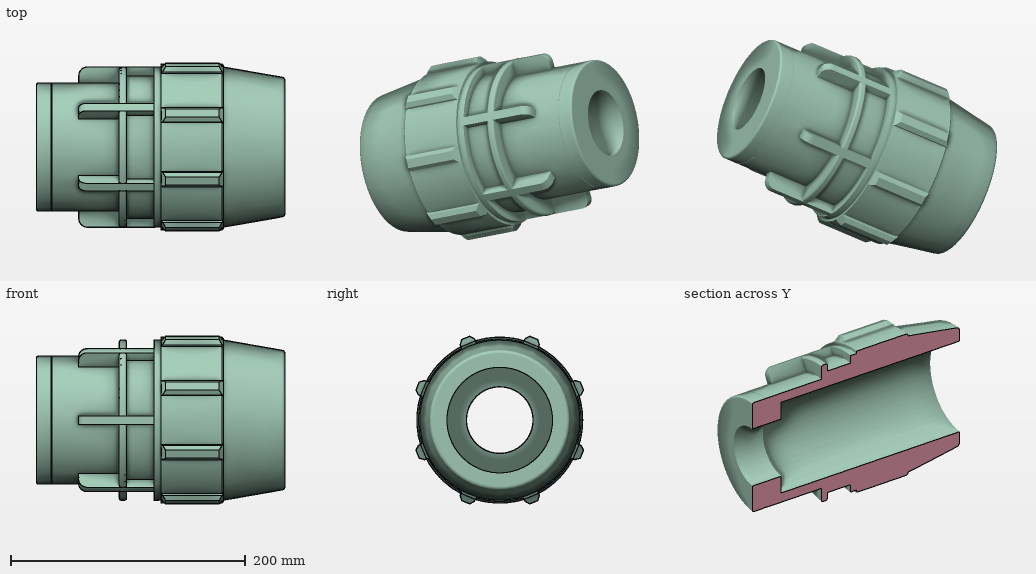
import cadquery as cq

total_length = 212.0

spigot_radius = 109.4 / 2
spigot_edge_round = 2.0
groove_start = 12.3
groove_width = 0.8
groove_depth = 0.32

rim_radius = 136.7 / 2
flange_start = 70.5
flange_width = 6.4
flange_edge_round = 2.0
neck_radius = 60.8
collar_start = 100.3

nut_radius = 70.8
nut_start = 106.2
nut_end = 159.6
nut_edge_chamfer = 1.5

taper_start_radius = 68.3
taper_end_radius = 59.1
end_round = 3.0

bore_radius = 56.5 / 2
pipe_bore_radius = 90.0 / 2
pipe_bore_start = 29.7

rib_count = 6
rib_thickness = 7.5
rib_start = 36.0
rib_corner_round = 7.5
rib_root = spigot_radius - 2.1

lug_count = 8
lug_top = 76.0
lug_top_width = 7.5
lug_base_width = 13.4
lug_wall_top = 72.3
lug_root = nut_radius - 2.1
lug_end_root = 70.4
lug_front_slope = 4.0
lug_back_slope = 3.8


def cylinder(radius, start, end):
    """Solid cylinder along X between two stations."""
    return cq.Workplane("YZ").workplane(offset=start).circle(radius).extrude(end - start)


def around_axis(body, count, first_angle):
    """Union of equally spaced copies of a body around the X axis."""
    copies = cq.Workplane("YZ")
    for i in range(count):
        angle = first_angle + i * 360.0 / count
        copies = copies.add(body.rotate((0, 0, 0), (1, 0, 0), angle))
    return copies.combine()


def make_spigot():
    spigot = cylinder(spigot_radius, 0, nut_start).faces("<X").edges().fillet(spigot_edge_round)
    groove_end = groove_start + groove_width
    groove = cylinder(rim_radius, groove_start, groove_end)
    groove = groove.cut(cylinder(spigot_radius - groove_depth, groove_start, groove_end))
    return spigot.cut(groove)


def make_flange_and_collar():
    flange = cylinder(rim_radius, flange_start, flange_start + flange_width)
    flange = flange.edges().fillet(flange_edge_round)
    neck = cylinder(neck_radius, flange_start + flange_width / 2, nut_start)
    collar = cylinder(rim_radius, collar_start, nut_start)
    return flange.union(neck).union(collar)


def make_nut():
    grip = cylinder(nut_radius, nut_start, nut_end).faces(">X").edges().chamfer(nut_edge_chamfer)
    taper = (
        cq.Workplane("XY")
        .moveTo(nut_start, 0)
        .lineTo(nut_start, taper_start_radius)
        .lineTo(nut_end, taper_start_radius)
        .lineTo(total_length, taper_end_radius)
        .lineTo(total_length, 0)
        .close()
        .revolve(360, (0, 0, 0), (1, 0, 0))
        .faces(">X")
        .edges()
        .fillet(end_round)
    )
    return grip.union(taper)


def make_rib():
    """Radial rib in the XY plane on the +Y side, with a rounded front corner."""
    return (
        cq.Workplane("XY")
        .workplane(offset=-rib_thickness / 2)
        .moveTo(rib_start, rib_root)
        .lineTo(rib_start, rim_radius)
        .lineTo(collar_start, rim_radius)
        .lineTo(collar_start, rib_root)
        .close()
        .extrude(rib_thickness)
        .edges("|Z and <X and >Y")
        .fillet(rib_corner_round)
    )


def make_lug():
    """Grip lug on the +Y side, its four upper sides sloping in to a flat top."""
    lengthwise = (
        cq.Workplane("XY")
        .polyline([
            (nut_start, lug_root),
            (nut_start, lug_end_root),
            (nut_start + lug_front_slope, lug_top),
            (nut_end - lug_back_slope, lug_top),
            (nut_end, lug_end_root),
            (nut_end, lug_root),
        ])
        .close()
        .extrude(lug_base_width, both=True)
    )
    crosswise = (
        cq.Workplane("YZ")
        .workplane(offset=nut_start)
        .polyline([
            (lug_root, -lug_base_width / 2),
            (lug_wall_top, -lug_base_width / 2),
            (lug_top, -lug_top_width / 2),
            (lug_top, lug_top_width / 2),
            (lug_wall_top, lug_base_width / 2),
            (lug_root, lug_base_width / 2),
        ])
        .close()
        .extrude(nut_end - nut_start)
    )
    return lengthwise.intersect(crosswise)


body = make_spigot().union(make_flange_and_collar()).union(make_nut())
body = body.union(around_axis(make_rib(), rib_count, 0))
body = body.union(around_axis(make_lug(), lug_count, 180.0 / lug_count))
body = body.cut(cylinder(bore_radius, 0, total_length))
result = body.cut(cylinder(pipe_bore_radius, pipe_bore_start, total_length))